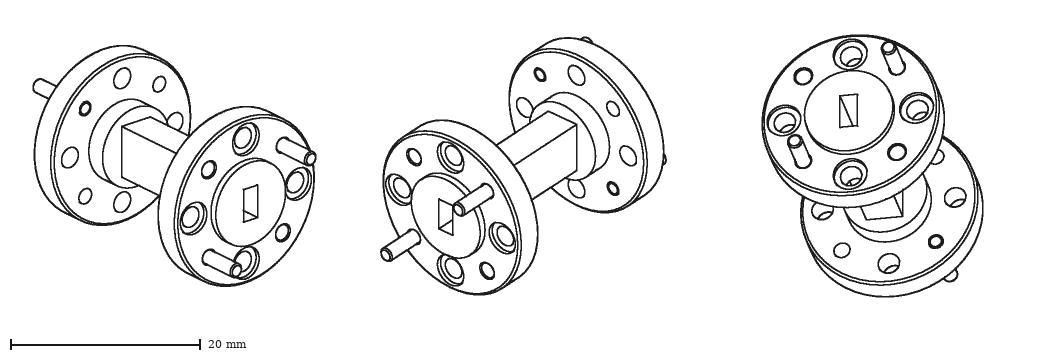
import cadquery as cq
import math


TUBE_WIDTH = 3.9
TUBE_HEIGHT = 5.85
BORE_WIDTH = 1.9
BORE_HEIGHT = 3.75

OVERALL_LENGTH = 25.4
FLANGE_DIAMETER = 19.05
FLANGE_THICKNESS = 3.25
FLANGE_CHAMFER = 0.25
BOSS_DIAMETER = 9.5
BOSS_HEIGHT = 0.8
HUB_DIAMETER = 9.1
HUB_LENGTH = 2.3

BOLT_CIRCLE_RADIUS = 7.13
SCREW_HOLE_DIAMETER = 2.3
COUNTERBORE_DIAMETER = 3.6
COUNTERBORE_DEPTH = 0.5
SCREW_ANGLES = (0, 90, 180, 270)
OPEN_HOLE_DIAMETER = 1.72
OPEN_HOLE_CHAMFER = 0.13

PIN_DIAMETER = 1.55
PIN_CHAMFER = 0.15
PIN_HOLE_CHAMFER = 0.115
SHORT_PIN_REACH = 16.55
LONG_PIN_REACH = 16.6

MATING_FACE = OVERALL_LENGTH / 2
FLANGE_OUTER = MATING_FACE - BOSS_HEIGHT
FLANGE_INNER = FLANGE_OUTER - FLANGE_THICKNESS
HUB_END = FLANGE_INNER - HUB_LENGTH

ENDS = (-1, 1)
PIN_ANGLES = {-1: (135, 315), 1: (45, 225)}
OPEN_HOLE_ANGLES = {-1: PIN_ANGLES[1], 1: PIN_ANGLES[-1]}
LONG_PIN = (1, 45)


def cylinder_along_x(diameter, start, end):
    """Cylinder on the X axis from x = start to x = end."""
    return cq.Workplane("YZ", origin=(start, 0, 0)).circle(diameter / 2).extrude(end - start)


def block_along_x(width, height, half_length):
    """Rectangular bar on the X axis, centred on the origin."""
    return cq.Workplane("YZ").rect(width, height).extrude(half_length, both=True)


def on_bolt_circle(shape, angle):
    """Move a shape from the X axis to the bolt circle; the angle runs from +Y towards +Z."""
    y = BOLT_CIRCLE_RADIUS * math.cos(math.radians(angle))
    z = BOLT_CIRCLE_RADIUS * math.sin(math.radians(angle))
    return shape.translate((0, y, z))


def to_end(shape, end):
    """Keep a shape at the +X end, or mirror it to the -X end."""
    return shape if end > 0 else shape.mirror("YZ")


def flange_blank():
    """Flange disc with its outer boss and inner hub."""
    disc = cylinder_along_x(FLANGE_DIAMETER, FLANGE_INNER, FLANGE_OUTER).edges().chamfer(FLANGE_CHAMFER)
    boss = cylinder_along_x(BOSS_DIAMETER, FLANGE_OUTER, MATING_FACE)
    hub = cylinder_along_x(HUB_DIAMETER, HUB_END, FLANGE_INNER)
    return disc.union(boss).union(hub)


def screw_hole_cutter():
    """Through hole counterbored from the outer face."""
    hole = cylinder_along_x(SCREW_HOLE_DIAMETER, FLANGE_INNER, FLANGE_OUTER)
    counterbore = cylinder_along_x(COUNTERBORE_DIAMETER, FLANGE_OUTER - COUNTERBORE_DEPTH, FLANGE_OUTER)
    return hole.union(counterbore)


def chamfered_hole_cutter(diameter, chamfer):
    """Through hole with a chamfered mouth at the outer face, as one revolved profile."""
    radius = diameter / 2
    return (
        cq.Workplane("XY")
        .moveTo(FLANGE_INNER, 0)
        .lineTo(FLANGE_INNER, radius)
        .lineTo(FLANGE_OUTER - chamfer, radius)
        .lineTo(FLANGE_OUTER, radius + chamfer)
        .lineTo(FLANGE_OUTER, 0)
        .close()
        .revolve(360, (0, 0, 0), (1, 0, 0))
    )


def make_flange(end):
    """Finished flange at one end of the part, with its screw, pin and open holes."""
    flange = flange_blank()
    for angle in SCREW_ANGLES:
        flange = flange.cut(on_bolt_circle(screw_hole_cutter(), angle))
    for angle in PIN_ANGLES[end]:
        cutter = chamfered_hole_cutter(PIN_DIAMETER, PIN_HOLE_CHAMFER)
        flange = flange.cut(on_bolt_circle(cutter, angle))
    for angle in OPEN_HOLE_ANGLES[end]:
        cutter = chamfered_hole_cutter(OPEN_HOLE_DIAMETER, OPEN_HOLE_CHAMFER)
        flange = flange.cut(on_bolt_circle(cutter, angle))
    return to_end(flange, end)


def make_waveguide():
    """Tube and both flanges as one body, with the bore running right through."""
    body = block_along_x(TUBE_WIDTH, TUBE_HEIGHT, HUB_END)
    for end in ENDS:
        body = body.union(make_flange(end))
    return body.cut(block_along_x(BORE_WIDTH, BORE_HEIGHT, MATING_FACE))


def make_pin(end, angle):
    """Alignment pin, chamfered at both tips, flush with the inner face of its flange."""
    reach = LONG_PIN_REACH if (end, angle) == LONG_PIN else SHORT_PIN_REACH
    pin = cylinder_along_x(PIN_DIAMETER, FLANGE_INNER, reach).faces("<X or >X").chamfer(PIN_CHAMFER)
    return to_end(on_bolt_circle(pin, angle), end)


waveguide = make_waveguide()
pins = [make_pin(end, angle) for end in ENDS for angle in PIN_ANGLES[end]]

result = cq.Compound.makeCompound([waveguide.val(), *[pin.val() for pin in pins]])